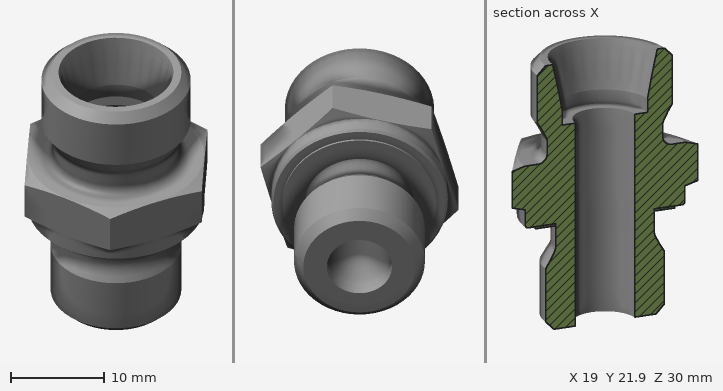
import cadquery as cq
import math

TOTAL_LENGTH = 30.0
SEAL_BOTTOM_Z = 11.67
COLLAR_BOTTOM_Z = 11.9
HEX_BOTTOM_Z = 14.0
HEX_TOP_Z = 19.0
LOWER_THREAD_TOP_Z = 7.02
UPPER_THREAD_BOTTOM_Z = 23.6

LOWER_THREAD_RADIUS = 14.0 / 2
LOWER_NECK_RADIUS = 11.7 / 2
COLLAR_RADIUS = 18.9 / 2
COLLAR_CHAMFER = 0.25
UPPER_NECK_RADIUS = 13.7 / 2
UPPER_THREAD_RADIUS = 16.0 / 2
THREAD_CHAMFER = 1.0
HEX_ACROSS_FLATS = 19.0
HEX_CHAMFER_ANGLE = math.radians(15)

RUNOUT_ANGLE = math.radians(30)
LOWER_RUNOUT_ARC = 1.25
UPPER_RUNOUT_ARC = 1.0
HEX_FILLET = 1.0

BORE_RADIUS = 7.0 / 2
SOCKET_RADIUS = 10.0 / 2
SOCKET_DEPTH = 7.0
MOUTH_RADIUS = 12.3 / 2
MOUTH_CONE_ANGLE = math.radians(12)

SEAL_RADIUS = 16.5 / 2


def runout_points(thread_radius, neck_radius, thread_z, arc_radius, direction):
    """Cone end, arc midpoint and neck start; direction is +1 if the neck lies above the thread."""
    cone_end_radius = neck_radius + arc_radius * (1 - math.cos(RUNOUT_ANGLE))
    cone_height = (thread_radius - cone_end_radius) / math.tan(RUNOUT_ANGLE)
    neck_height = cone_height + arc_radius * math.sin(RUNOUT_ANGLE)
    half_angle = RUNOUT_ANGLE / 2
    mid_radius = neck_radius + arc_radius * (1 - math.cos(half_angle))
    mid_height = neck_height - arc_radius * math.sin(half_angle)
    return (
        (cone_end_radius, thread_z + direction * cone_height),
        (mid_radius, thread_z + direction * mid_height),
        (neck_radius, thread_z + direction * neck_height),
    )


def make_lower_end():
    """Threaded stud, neck and round collar below the hexagon."""
    cone_end, arc_mid, neck_start = runout_points(
        LOWER_THREAD_RADIUS, LOWER_NECK_RADIUS, LOWER_THREAD_TOP_Z, LOWER_RUNOUT_ARC, 1
    )
    return (
        cq.Workplane("XZ")
        .lineTo(LOWER_THREAD_RADIUS - THREAD_CHAMFER, 0)
        .lineTo(LOWER_THREAD_RADIUS, THREAD_CHAMFER)
        .lineTo(LOWER_THREAD_RADIUS, LOWER_THREAD_TOP_Z)
        .lineTo(*cone_end)
        .threePointArc(arc_mid, neck_start)
        .lineTo(LOWER_NECK_RADIUS, COLLAR_BOTTOM_Z)
        .lineTo(COLLAR_RADIUS - COLLAR_CHAMFER, COLLAR_BOTTOM_Z)
        .lineTo(COLLAR_RADIUS, COLLAR_BOTTOM_Z + COLLAR_CHAMFER)
        .lineTo(COLLAR_RADIUS, HEX_BOTTOM_Z)
        .lineTo(0, HEX_BOTTOM_Z)
        .close()
        .revolve(360, (0, 0, 0), (0, 1, 0))
    )


def make_hexagon():
    """Hexagon with corners on the Y axis, its corners cut back by a shallow cone at each end."""
    corner_radius = HEX_ACROSS_FLATS / 2 / math.cos(math.pi / 6)
    chamfer_height = (corner_radius - COLLAR_RADIUS) * math.tan(HEX_CHAMFER_ANGLE)
    prism = (
        cq.Workplane("XY")
        .workplane(offset=HEX_BOTTOM_Z)
        .polygon(6, 2 * corner_radius)
        .extrude(HEX_TOP_Z - HEX_BOTTOM_Z)
        .rotate((0, 0, 0), (0, 0, 1), 30)
    )
    envelope = (
        cq.Workplane("XZ")
        .moveTo(0, HEX_BOTTOM_Z)
        .lineTo(COLLAR_RADIUS, HEX_BOTTOM_Z)
        .lineTo(corner_radius, HEX_BOTTOM_Z + chamfer_height)
        .lineTo(corner_radius, HEX_TOP_Z - chamfer_height)
        .lineTo(COLLAR_RADIUS, HEX_TOP_Z)
        .lineTo(0, HEX_TOP_Z)
        .close()
        .revolve(360, (0, 0, 0), (0, 1, 0))
    )
    return prism.intersect(envelope)


def make_upper_end():
    """Neck and threaded socket end above the hexagon."""
    cone_end, arc_mid, neck_end = runout_points(
        UPPER_THREAD_RADIUS, UPPER_NECK_RADIUS, UPPER_THREAD_BOTTOM_Z, UPPER_RUNOUT_ARC, -1
    )
    fillet_inset = HEX_FILLET * (1 - math.sqrt(0.5))
    return (
        cq.Workplane("XZ")
        .moveTo(0, HEX_TOP_Z)
        .lineTo(UPPER_NECK_RADIUS + HEX_FILLET, HEX_TOP_Z)
        .threePointArc(
            (UPPER_NECK_RADIUS + fillet_inset, HEX_TOP_Z + fillet_inset),
            (UPPER_NECK_RADIUS, HEX_TOP_Z + HEX_FILLET),
        )
        .lineTo(*neck_end)
        .threePointArc(arc_mid, cone_end)
        .lineTo(UPPER_THREAD_RADIUS, UPPER_THREAD_BOTTOM_Z)
        .lineTo(UPPER_THREAD_RADIUS, TOTAL_LENGTH - THREAD_CHAMFER)
        .lineTo(UPPER_THREAD_RADIUS - THREAD_CHAMFER, TOTAL_LENGTH)
        .lineTo(0, TOTAL_LENGTH)
        .close()
        .revolve(360, (0, 0, 0), (0, 1, 0))
    )


def make_passage():
    """Through bore, tube socket and conical mouth, as the volume to remove."""
    socket_floor_z = TOTAL_LENGTH - SOCKET_DEPTH
    cone_bottom_z = TOTAL_LENGTH - (MOUTH_RADIUS - SOCKET_RADIUS) / math.tan(MOUTH_CONE_ANGLE)
    return (
        cq.Workplane("XZ")
        .lineTo(BORE_RADIUS, 0)
        .lineTo(BORE_RADIUS, socket_floor_z)
        .lineTo(SOCKET_RADIUS, socket_floor_z)
        .lineTo(SOCKET_RADIUS, cone_bottom_z)
        .lineTo(MOUTH_RADIUS, TOTAL_LENGTH)
        .lineTo(0, TOTAL_LENGTH)
        .close()
        .revolve(360, (0, 0, 0), (0, 1, 0))
    )


def make_fitting():
    """Hexagonal fitting body with a thread at each end."""
    return make_lower_end().union(make_hexagon()).union(make_upper_end()).cut(make_passage())


def make_seal():
    """Flat sealing ring around the lower neck, seated against the collar."""
    return (
        cq.Workplane("XY")
        .workplane(offset=SEAL_BOTTOM_Z)
        .circle(SEAL_RADIUS)
        .circle(LOWER_NECK_RADIUS)
        .extrude(COLLAR_BOTTOM_Z - SEAL_BOTTOM_Z)
    )


fitting = make_fitting()
seal = make_seal()

result = cq.Compound.makeCompound([fitting.solids().val(), seal.val()])